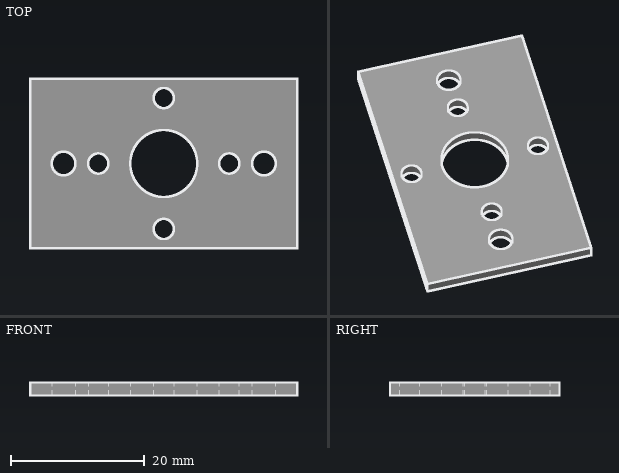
import cadquery as cq

length = 40
width = 25.4
thickness = 2

bore_diameter = 10
small_hole_diameter = 3.0
small_hole_circle_radius = 9.8
outer_hole_diameter = 3.5
outer_hole_spacing = 30

plate = cq.Workplane("XY").box(length, width, thickness)

result = plate.faces(">Z").workplane().hole(bore_diameter)

result = (
    result.faces(">Z").workplane()
    .polarArray(small_hole_circle_radius, 0, 360, 4)
    .hole(small_hole_diameter)
)

result = (
    result.faces(">Z").workplane()
    .rarray(outer_hole_spacing, 0.4, 2, 1)
    .hole(outer_hole_diameter)
)